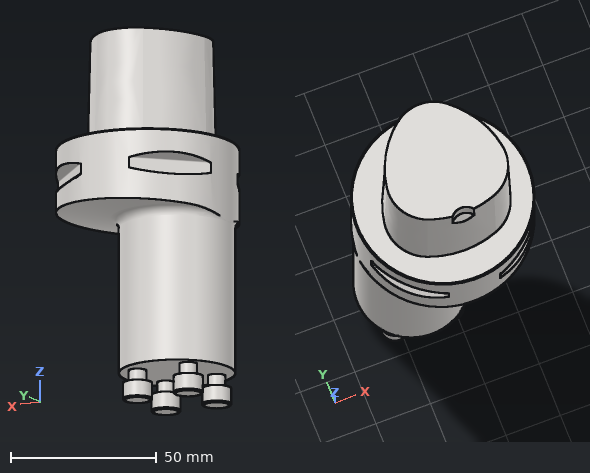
import cadquery as cq
import math

overall_height = 128.5
flange_top = 90.6
shank_bottom = 10.4
head_height = 6.0

flange_diameter = 63.0
flange_chamfer = 0.4
shank_diameter = 40.0
underside_angle = 10.5
underside_high = 68.5
shank_fillet = 3.5

side_radius = 34.0
lobe_radius = 14.3
lobe_center = 8.2
taper_growth = 0.9

notch_radius = 5.0
notch_depth = 6.4
notch_inner_y = -17.6
notch_cone_angle = 50.0

groove_height = 78.7
groove_depth = 3.6
groove_floor_width = 3.6
groove_flank_angle = 30.0
groove_fillet = 0.5

screw_diameter = 6.0
head_diameter = 10.0
head_chamfer = 0.5
screw_spacing = 19.9

flange_radius = flange_diameter / 2
shank_radius = shank_diameter / 2
shank_x = shank_radius - flange_radius


def make_body():
    """Flange, conical underside and shank: a turning about the shank axis, trimmed round."""
    cone_radius = flange_radius - shank_x
    slope = math.radians(underside_angle)
    corner_height = underside_high - (cone_radius - shank_radius) * math.tan(slope)

    arc_center_r = shank_radius + shank_fillet
    tangent_length = shank_fillet * math.tan((math.pi / 2 - slope) / 2)
    arc_center_z = corner_height - tangent_length
    middle_angle = (math.pi + math.pi / 2 + slope) / 2

    def on_arc(angle):
        return (
            arc_center_r + shank_fillet * math.cos(angle),
            arc_center_z + shank_fillet * math.sin(angle),
        )

    turning = (
        cq.Workplane("XZ")
        .moveTo(0, shank_bottom)
        .lineTo(shank_radius, shank_bottom)
        .lineTo(shank_radius, arc_center_z)
        .threePointArc(on_arc(middle_angle), on_arc(math.pi / 2 + slope))
        .lineTo(cone_radius, underside_high)
        .lineTo(cone_radius, flange_top)
        .lineTo(0, flange_top)
        .close()
        .revolve(360, (0, 0, 0), (0, 1, 0))
        .translate((shank_x, 0, 0))
    )
    envelope = (
        cq.Workplane("XY")
        .workplane(offset=shank_bottom)
        .circle(flange_radius)
        .extrude(flange_top - shank_bottom)
        .faces(">Z")
        .chamfer(flange_chamfer)
    )
    return envelope.intersect(turning)


def polar(radius, degrees):
    angle = math.radians(degrees)
    return cq.Vector(radius * math.cos(angle), radius * math.sin(angle), 0)


def lobed_outline(growth, height):
    """Closed outline of three lobes and three flatter sides, grown outward by `growth`."""
    center_gap = side_radius - lobe_radius
    half_lobe = lobe_center * math.sin(math.radians(60))
    side_half_angle = math.degrees(math.asin(half_lobe / center_gap))
    side_center = math.sqrt(center_gap**2 - half_lobe**2) - lobe_center / 2
    lift = cq.Vector(0, 0, height)
    edges = []
    for lobe_direction in (90, 210, 330):
        side_direction = lobe_direction + 60
        lobe_mid = polar(lobe_center, lobe_direction) + lift
        side_mid = polar(-side_center, side_direction) + lift
        lobe_half_angle = 60 - side_half_angle
        for center, radius, direction, half_angle in (
            (lobe_mid, lobe_radius + growth, lobe_direction, lobe_half_angle),
            (side_mid, side_radius + growth, side_direction, side_half_angle),
        ):
            arc_points = [center + polar(radius, direction + turn) for turn in (-half_angle, 0, half_angle)]
            edges.append(cq.Edge.makeThreePointArc(*arc_points))
    return cq.Wire.assembleEdges(edges)


def make_taper():
    outlines = [lobed_outline(taper_growth, flange_top), lobed_outline(0, overall_height)]
    return cq.Workplane(cq.Solid.makeLoft(outlines, True))


def make_notch():
    """Vertical drilling with a conical tip, breaking out of the -Y side of the taper."""
    cone_height = notch_radius / math.tan(math.radians(notch_cone_angle))
    return (
        cq.Workplane("XZ")
        .lineTo(notch_radius, cone_height)
        .lineTo(notch_radius, cone_height + notch_depth)
        .lineTo(0, cone_height + notch_depth)
        .close()
        .revolve(360, (0, 0, 0), (0, 1, 0))
        .translate((0, notch_inner_y - notch_radius, overall_height - notch_depth - cone_height))
    )


def make_groove():
    """Straight V-flanked groove across the +X side of the flange."""
    floor_x = flange_radius - groove_depth
    half_floor = groove_floor_width / 2
    half_mouth = half_floor + groove_depth * math.tan(math.radians(groove_flank_angle))
    return (
        cq.Workplane("XZ")
        .polyline([
            (floor_x, -half_floor),
            (flange_radius, -half_mouth),
            (flange_radius, half_mouth),
            (floor_x, half_floor),
        ])
        .close()
        .extrude(flange_radius, both=True)
        .edges("|Y and <X")
        .fillet(groove_fillet)
        .translate((0, 0, groove_height))
    )


def make_screws():
    def at_screws(plane):
        return plane.center(shank_x, 0).rarray(screw_spacing, screw_spacing, 2, 2)

    heads = at_screws(cq.Workplane("XY")).circle(head_diameter / 2).extrude(head_height)
    heads = heads.faces("<Z").chamfer(head_chamfer)
    stems = at_screws(cq.Workplane("XY")).circle(screw_diameter / 2).extrude(shank_bottom)
    return heads.union(stems)


result = make_body().union(make_taper()).cut(make_notch())
for groove_direction in (45, 135, 225, 315):
    result = result.cut(make_groove().rotate((0, 0, 0), (0, 0, 1), groove_direction))
result = result.union(make_screws())